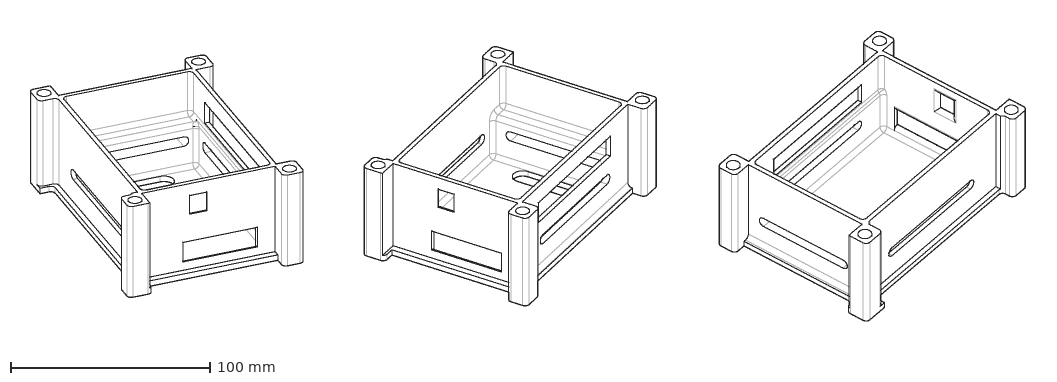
import cadquery as cq
LENGTH = 130.46
WIDTH = 95.54
HEIGHT = 52.28

RADIUS = 2.4
FLOOR = 3.2
OVERSHOOT = 1.0

OUTER_X = 54.5
OUTER_Y = 37.7
INNER_X = 51.95
INNER_Y = 35.2

BASE_X = 58.1
BASE_Y = 40.5

POST_X = LENGTH / 2
POST_Y = WIDTH / 2
PILLAR = 11.54
HOLE_DIAMETER = 7.0
HOLE_X = POST_X - PILLAR / 2
HOLE_Y = POST_Y - PILLAR / 2
PANEL_X = 52.35
PANEL_Y = POST_Y - PILLAR
FOOT_FRONT_Y = 34.8
LEFT_FOOT_X = 50.8
RIGHT_FOOT_X = POST_X - PILLAR

STEP_HEIGHT = 27.6
STEP_X = -41.8
LEDGE_Y = 33.9

SLOT_BOTTOM = 16.0
SLOT_HEIGHT = 5.4
LONG_SLOT_LENGTH = 69.0
SIDE_SLOT_LENGTH = 56.2
SIDE_SLOT_Y = 1.2
FLOOR_SLOT_WIDTH = 10.4
FLOOR_SLOT_LENGTH = 35.4
FLOOR_SLOT_X = -33.7

REAR_WINDOW_X = (-35.1, 36.3)
REAR_WINDOW_Z = (31.0, 42.8)

LOW_WINDOW_Y = (-13.85, 26.7)
LOW_WINDOW_Z = (8.0, 19.2)
HIGH_WINDOW_Y = (-10.2, -0.9)
HIGH_WINDOW_Z = (34.7, 45.4)


def block(x_range, y_range, z_range):
    """Box between two x, two y and two z positions."""
    size = [high - low for low, high in (x_range, y_range, z_range)]
    corner = (x_range[0], y_range[0], z_range[0])
    return cq.Workplane("XY").box(*size, centered=False).translate(corner)


def edge_near(solid, *points):
    """The edges of a solid that lie closest to the given points."""
    picked = solid.newObject([])
    for point in points:
        picked = picked.add(solid.edges(cq.selectors.NearestToPointSelector(point)))
    return picked


def post_and_base_body():
    """Base plate outline with its four posts, raised to the full height."""
    outline = [
        (-POST_X, -POST_Y),
        (-LEFT_FOOT_X, -POST_Y),
        (-LEFT_FOOT_X, -BASE_Y),
        (RIGHT_FOOT_X, -BASE_Y),
        (RIGHT_FOOT_X, -POST_Y),
        (POST_X, -POST_Y),
        (POST_X, -FOOT_FRONT_Y),
        (BASE_X, -FOOT_FRONT_Y),
        (BASE_X, PANEL_Y),
        (POST_X, PANEL_Y),
        (POST_X, POST_Y),
        (PANEL_X, POST_Y),
        (PANEL_X, BASE_Y),
        (-PANEL_X, BASE_Y),
        (-PANEL_X, POST_Y),
        (-POST_X, POST_Y),
        (-POST_X, PANEL_Y),
        (-BASE_X, PANEL_Y),
        (-BASE_X, -FOOT_FRONT_Y),
        (-POST_X, -FOOT_FRONT_Y),
    ]
    sharp = {
        (-LEFT_FOOT_X, -POST_Y),
        (BASE_X, -FOOT_FRONT_Y),
        (BASE_X, PANEL_Y),
        (PANEL_X, BASE_Y),
        (-PANEL_X, BASE_Y),
        (-BASE_X, PANEL_Y),
    }
    body = cq.Workplane("XY").polyline(outline).close().extrude(HEIGHT)
    rounded = [(x, y, HEIGHT / 2) for x, y in outline if (x, y) not in sharp]
    return edge_near(body, *rounded).fillet(RADIUS)


def cut_recesses(body):
    """Set the four outer walls back above the base plate, between the posts."""
    z_range = (FLOOR, HEIGHT + OVERSHOOT)
    side_y = (-PANEL_Y, PANEL_Y)
    panel_x = (-PANEL_X, PANEL_X)
    far_x = POST_X + OVERSHOOT
    far_y = POST_Y + OVERSHOOT

    left = block((-far_x, -OUTER_X), side_y, z_range)
    left = edge_near(left, (-OUTER_X, 0, FLOOR)).fillet(RADIUS)
    right = block((OUTER_X, far_x), side_y, z_range)
    rear = block(panel_x, (OUTER_Y, far_y), z_range)
    rear = edge_near(rear, (0, OUTER_Y, FLOOR)).fillet(RADIUS)
    front = block(panel_x, (-far_y, -OUTER_Y), z_range)
    front = edge_near(front, (-PANEL_X, -OUTER_Y, HEIGHT / 2)).fillet(RADIUS)
    for recess in (left, right, rear, front):
        body = body.cut(recess)
    return edge_near(body, (-PANEL_X, -POST_Y, HEIGHT / 2)).fillet(RADIUS)


def cavity():
    """Inside of the box: a wide upper part above a step, a narrower lower part.

    The step fills the left end and continues as a narrow ledge along the rear wall.
    """
    x_range = (-INNER_X, INNER_X)
    y_range = (-INNER_Y, INNER_Y)
    upper = block(x_range, y_range, (STEP_HEIGHT, HEIGHT + OVERSHOOT))
    lower = block((STEP_X, INNER_X), (-INNER_Y, LEDGE_Y), (FLOOR, HEIGHT))
    space = upper.union(lower).clean()
    mid_low = (FLOOR + STEP_HEIGHT) / 2
    mid_high = (STEP_HEIGHT + HEIGHT) / 2
    step_middle_x = (STEP_X - INNER_X) / 2
    ledge_middle_x = (STEP_X + INNER_X) / 2

    space = edge_near(space, (-INNER_X, INNER_Y, mid_high)).fillet(RADIUS)
    step_foot = [(-INNER_X, 0, STEP_HEIGHT), (0, INNER_Y, STEP_HEIGHT)]
    space = edge_near(space, *step_foot).fillet(RADIUS)

    step_rim = [(STEP_X, 0, STEP_HEIGHT), (ledge_middle_x, LEDGE_Y, STEP_HEIGHT)]
    space = edge_near(space, *step_rim).fillet(RADIUS)
    front_left = [(step_middle_x, -INNER_Y, STEP_HEIGHT), (-INNER_X, -INNER_Y, mid_high)]
    space = edge_near(space, *front_left).fillet(RADIUS)

    corners = [
        (INNER_X, LEDGE_Y, mid_low),
        (STEP_X, LEDGE_Y, mid_low),
        (INNER_X, -INNER_Y, HEIGHT / 2),
        (STEP_X, -INNER_Y, mid_low),
    ]
    space = edge_near(space, *corners).fillet(RADIUS)
    return space.faces("<Z").edges().fillet(RADIUS)


def cut_slots(body):
    """Round-ended slots through the front, rear and left walls and through the floor."""
    slot_z = SLOT_BOTTOM + SLOT_HEIGHT / 2
    front_and_rear = (
        cq.Workplane("XZ")
        .center(0, slot_z)
        .slot2D(LONG_SLOT_LENGTH, SLOT_HEIGHT)
        .extrude(POST_Y, both=True)
    )
    left = (
        cq.Workplane("YZ")
        .center(SIDE_SLOT_Y, slot_z)
        .slot2D(SIDE_SLOT_LENGTH, SLOT_HEIGHT)
        .extrude(-POST_X)
    )
    floor = (
        cq.Workplane("XY")
        .center(FLOOR_SLOT_X, 0)
        .slot2D(FLOOR_SLOT_LENGTH, FLOOR_SLOT_WIDTH, 90)
        .extrude(FLOOR)
    )
    return body.cut(front_and_rear).cut(left).cut(floor)


def low_window():
    """Cutter for the low window, whose lower and upper inner edges are rounded."""
    bottom, top = LOW_WINDOW_Z
    throat_x = INNER_X + RADIUS
    return (
        cq.Workplane("XZ", origin=(0, LOW_WINDOW_Y[1], 0))
        .moveTo(INNER_X, bottom - RADIUS)
        .radiusArc((throat_x, bottom), RADIUS)
        .lineTo(POST_X, bottom)
        .lineTo(POST_X, top)
        .lineTo(throat_x, top)
        .radiusArc((INNER_X, top + RADIUS), RADIUS)
        .close()
        .extrude(LOW_WINDOW_Y[1] - LOW_WINDOW_Y[0])
    )


def cut_windows(body):
    """Plain window in the rear wall, two windows with rounded inner edges in the right wall."""
    body = body.cut(block(REAR_WINDOW_X, (0, POST_Y), REAR_WINDOW_Z))
    body = body.cut(low_window())
    body = body.cut(block((0, POST_X), HIGH_WINDOW_Y, HIGH_WINDOW_Z))

    middle_y = sum(HIGH_WINDOW_Y) / 2
    middle_z = sum(HIGH_WINDOW_Z) / 2
    high_rim = [(INNER_X, middle_y, z) for z in HIGH_WINDOW_Z]
    high_rim += [(INNER_X, y, middle_z) for y in HIGH_WINDOW_Y]
    return edge_near(body, *high_rim).fillet(RADIUS)


def drill_posts(body):
    """Screw holes through the full height of the four posts."""
    for x in (-HOLE_X, HOLE_X):
        for y in (-HOLE_Y, HOLE_Y):
            hole = cq.Workplane("XY").center(x, y).circle(HOLE_DIAMETER / 2).extrude(HEIGHT)
            body = body.cut(hole)
    return body


shell = cut_recesses(post_and_base_body()).cut(cavity())
result = drill_posts(cut_windows(cut_slots(shell)))